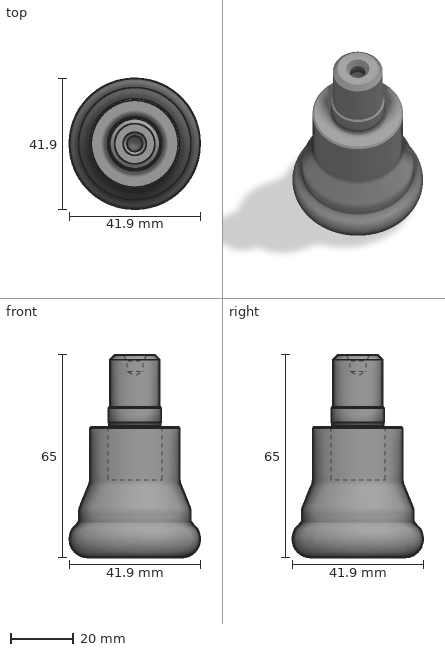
import cadquery as cq
import math

rim_outer_radius = 41.9 / 2
rim_tube_radius = 6.0
rim_segments = 8
band_radius = 18.0
band_bottom_z = 12.0
band_top_z = 14.4
flare_bottom_radius = 17.7
flare_bottom_z = 16.2
flare_top_radius = 14.8
flare_top_z = 23.2
body_radius = 14.5
body_bottom_z = 25.0
knob_top_z = 42.0
body_chamfer = 0.6

socket_radius = 8.7
socket_floor_z = body_bottom_z
socket_mouth_radius = 9.5
socket_mouth_depth = 0.2

pin_top_z = 65.0
stem_top_z = knob_top_z - socket_mouth_depth
neck_radius = 16.6 / 2
collar_radius = 8.5
collar_bottom_z = 43.2
collar_top_z = 48.4
collar_lower_chamfer = collar_radius - neck_radius
shank_radius = 8.0
collar_upper_chamfer = collar_radius - shank_radius
pin_chamfer = 1.55

hole_radius = 5.0 / 2
hole_mouth_radius = 3.7
hole_mouth_depth = 1.9
hole_mouth_bulge = 0.1
hole_depth = 5.2
drill_point_angle = 118.0


def revolve(outline):
    """Turn an outline drawn in radius and height about the Z axis."""
    return outline.close().revolve(360, (0, 0, 0), (0, 1, 0))


def make_knob():
    rim_center_radius = rim_outer_radius - rim_tube_radius
    rise = band_bottom_z - rim_tube_radius
    reach = band_radius - rim_center_radius
    fillet_radius = (reach**2 + rise**2 - rim_tube_radius**2) / (2 * (rim_tube_radius - reach))
    contact_angle = math.atan2(rise, reach + fillet_radius)

    def rim_point(angle):
        return (
            rim_center_radius + rim_tube_radius * math.cos(angle),
            rim_tube_radius + rim_tube_radius * math.sin(angle),
        )

    def fillet_point(angle):
        return (
            band_radius + fillet_radius - fillet_radius * math.cos(angle),
            band_bottom_z - fillet_radius * math.sin(angle),
        )

    base_angle = -math.pi / 2
    rim_step = (contact_angle - base_angle) / rim_segments
    side_curve = [rim_point(base_angle + i * rim_step) for i in range(1, rim_segments + 1)]
    side_curve += [fillet_point(contact_angle / 2), (band_radius, band_bottom_z)]

    outline = (
        cq.Workplane("XZ")
        .moveTo(0, 0)
        .lineTo(rim_center_radius, 0)
        .spline(side_curve, tangents=[(1, 0), (0, 1)], includeCurrent=True)
        .lineTo(band_radius, band_top_z)
        .tangentArcPoint((flare_bottom_radius, flare_bottom_z), relative=False)
        .tangentArcPoint((flare_top_radius, flare_top_z), relative=False)
        .tangentArcPoint((body_radius, body_bottom_z), relative=False)
        .lineTo(body_radius, knob_top_z - body_chamfer)
        .lineTo(body_radius - body_chamfer, knob_top_z)
        .lineTo(socket_mouth_radius, knob_top_z)
        .lineTo(socket_radius, knob_top_z - socket_mouth_depth)
        .lineTo(socket_radius, socket_floor_z)
        .lineTo(0, socket_floor_z)
    )
    return revolve(outline)


def make_centre_hole():
    point_height = hole_radius / math.tan(math.radians(drill_point_angle / 2))
    hole_bottom_z = pin_top_z - hole_depth
    outline = (
        cq.Workplane("XZ")
        .moveTo(0, hole_bottom_z - point_height)
        .lineTo(hole_radius, hole_bottom_z)
        .lineTo(hole_radius, pin_top_z - hole_mouth_depth)
        .sagittaArc((hole_mouth_radius, pin_top_z), -hole_mouth_bulge)
        .lineTo(0, pin_top_z)
    )
    return revolve(outline)


def make_pin():
    stem_chamfer = socket_radius - neck_radius
    outline = (
        cq.Workplane("XZ")
        .moveTo(0, socket_floor_z)
        .lineTo(socket_radius, socket_floor_z)
        .lineTo(socket_radius, stem_top_z)
        .lineTo(neck_radius, stem_top_z + stem_chamfer)
        .lineTo(neck_radius, collar_bottom_z)
        .lineTo(collar_radius, collar_bottom_z + collar_lower_chamfer)
        .lineTo(collar_radius, collar_top_z - collar_upper_chamfer)
        .lineTo(shank_radius, collar_top_z)
        .lineTo(shank_radius, pin_top_z - pin_chamfer)
        .lineTo(shank_radius - pin_chamfer, pin_top_z)
        .lineTo(0, pin_top_z)
    )
    return revolve(outline).cut(make_centre_hole())


knob = make_knob()
pin = make_pin()

result = cq.Compound.makeCompound([knob.val(), pin.val()])